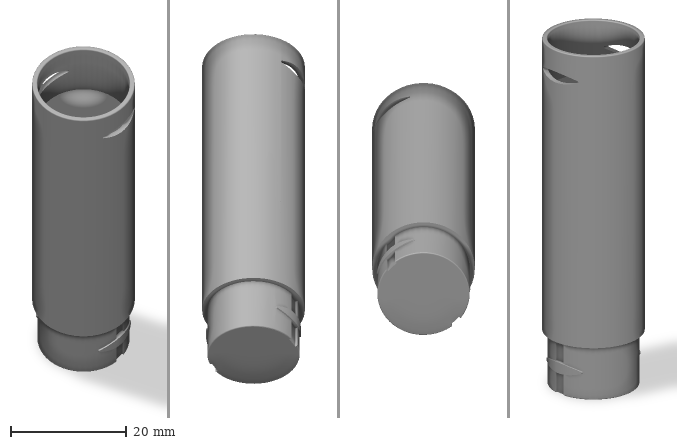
import cadquery as cq

body_diameter = 17.8
plug_diameter = 16.0
total_length = 64.5
plug_length = 10.0
edge_fillet = 0.2

socket_diameter = plug_diameter
socket_depth = plug_length

lens_width = 10.0
lens_height = 2.0
lens_tip_radius = 0.25
lens_end_distance = plug_length / 2

window_z = total_length - lens_end_distance
lug_z = lens_end_distance
lug_outer_radius = 8.25

groove_width = 2.2
groove_depth = 0.5

SIDES = (-1, 1)
body_radius = body_diameter / 2
plug_radius = plug_diameter / 2


def make_body():
    """Solid barrel with a narrower plug at the bottom, its end edge rounded."""
    plug = cq.Workplane("XY").circle(plug_radius).extrude(plug_length)
    plug = plug.faces("<Z").edges().fillet(edge_fillet)
    barrel = (
        cq.Workplane("XY")
        .workplane(offset=plug_length)
        .circle(body_radius)
        .extrude(total_length - plug_length)
    )
    return plug.union(barrel)


def cut_socket(part):
    """Blind bore in the top end, with both edges of its rim rounded."""
    part = part.faces(">Z").workplane().hole(socket_diameter, socket_depth)
    return part.faces(">Z").edges().fillet(edge_fillet)


def make_lens_bar(side, z):
    """Bar along X from the axis to the body radius, its section a lens of two arcs with rounded tips."""
    return (
        cq.Workplane("YZ", origin=(0, 0, z))
        .moveTo(-lens_width / 2, 0)
        .threePointArc((0, lens_height / 2), (lens_width / 2, 0))
        .threePointArc((0, -lens_height / 2), (-lens_width / 2, 0))
        .close()
        .extrude(side * body_radius)
        .edges("|X")
        .fillet(lens_tip_radius)
    )


def make_groove(side):
    """Box that cuts one groove along the whole plug."""
    return (
        cq.Workplane("XY")
        .center(side * plug_radius, 0)
        .rect(2 * groove_depth, groove_width)
        .extrude(plug_length)
    )


def make_lug(side):
    """Lens bar trimmed to a round outer face that stands proud of the plug."""
    envelope = cq.Workplane("XY").circle(lug_outer_radius).extrude(plug_length)
    return make_lens_bar(side, lug_z).intersect(envelope)


result = cut_socket(make_body())
for side in SIDES:
    result = result.cut(make_lens_bar(side, window_z))
    result = result.cut(make_groove(side))
    result = result.union(make_lug(side))